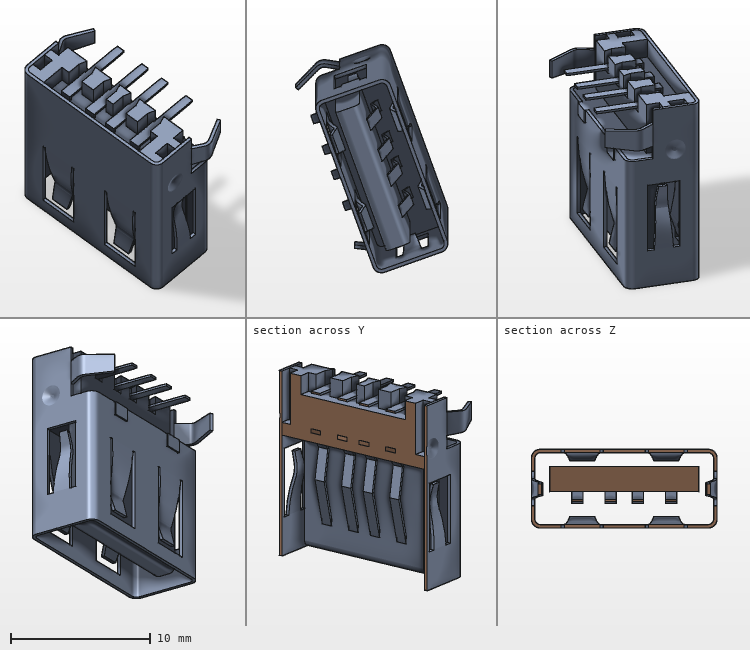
import cadquery as cq
import math


shell_width = 13.34
shell_depth = 5.67
shell_height = 14.0
wall = 0.26
corner_radius = 0.65
half_width = shell_width / 2
inner_half_width = half_width - wall
inner_back = shell_depth - wall

shelf_z = 10.14
side_wall_back = 3.65

grip_window_width = 3.02
grip_window_bottom = 1.1
grip_window_top = 7.13
grip_window_x = 3.02
grip_root_width = 2.64
grip_tip_width = 1.45
grip_tip_z = 1.74
grip_bend_far_z = 2.99
grip_bend_near_z = 3.45
grip_bend_inset = 0.52
grip_tip_inset = 0.15

side_window_front = 1.61
side_window_back = 4.07
side_window_bottom = 2.89
side_window_top = 8.08
side_root_front, side_root_back = 2.1, 3.55
side_tip_front, side_tip_back = 2.45, 3.13
side_bend_near_z = 5.87
side_bend_far_z = 6.87
side_tip_z = 7.7
side_bend_inset = 0.51
side_tip_inset = 0.29

bend_bulge = 0.06

clip_reach = 7.25
clip_bend_start_y = 4.54
clip_bend_end_y = 5.28
clip_bend_x = 7.16
clip_tip_x = 6.24
clip_tip_y = 7.16
clip_mid_z = 12.02
clip_root_height = 1.77
clip_tip_height = 1.33

dimple_y = 1.95
dimple_z = 10.6
dimple_rim_radius = 0.77
dimple_cone_radius = 0.71
dimple_floor_radius = 0.2
dimple_point_radius = 0.12
dimple_rim_depth = 0.01
dimple_cone_depth = 0.17
dimple_depth = 0.19

base_bottom = 9.14
upper_back = 3.83
upper_half_width = 5.65
arm_front, arm_back = 2.18, 2.84
pocket_front = 0.95
recess_half_width = 4.68
recess_back = 2.18
recess_floor = 12.59
slot_width = 1.26
slot_taper_y = 3.23
boss_width = 1.44
boss_x = 3.29
boss_back = 5.77
tongue_half_width = 5.36
tongue_front = 2.61
tongue_back = 4.44
tongue_bottom = 0.57
tongue_edge_radius = 0.5

pin_x_positions = (-3.36, -0.97, 0.97, 3.36)
pin_thickness = 0.17
pin_width = 0.83
pin_tail_width = 0.68
pin_tip_width = 0.62
pin_top = 13.02
pin_front = 1.13
pin_back = 6.93
pin_neck_y = 3.61
pin_tip_y = 6.48
pin_jog_top_z = 10.15
pin_jog_bottom_z, pin_jog_bottom_y = 8.55, 2.18
pin_contact_z, pin_contact_y = 6.19, 1.75
pin_end_z, pin_end_y = 2.62, tongue_front
tail_bottom = pin_top - pin_thickness


def box(x_range, y_range, z_range):
    """Box between the given limits on each axis."""
    size = [high - low for low, high in (x_range, y_range, z_range)]
    corner = (x_range[0], y_range[0], z_range[0])
    return cq.Workplane("XY").box(*size, centered=False).translate(corner)


def mirrored_in_x(body):
    return body.mirror("YZ")


def spring_strip(root_z, near_z, far_z, tip_z, bend_inset, tip_inset, width):
    """Bent strip, Y being its inset: an arc from the root, a rounded bend and a straight tip."""
    arc_z = (root_z + near_z) / 2
    bend_z = (near_z + far_z) / 2
    deepest = bend_inset + bend_bulge
    return (
        cq.Workplane("YZ")
        .moveTo(0, root_z)
        .threePointArc((bend_inset / 4, arc_z), (bend_inset, near_z))
        .threePointArc((deepest, bend_z), (bend_inset, far_z))
        .lineTo(tip_inset, tip_z)
        .lineTo(tip_inset + wall, tip_z)
        .lineTo(bend_inset + wall, far_z)
        .threePointArc((deepest + wall, bend_z), (bend_inset + wall, near_z))
        .threePointArc((bend_inset / 4 + wall, arc_z), (wall, root_z))
        .close()
        .extrude(width / 2, both=True)
    )


def front_grip(x):
    """Spring hanging from the top of a front window, tapering to its tip."""
    strip = spring_strip(
        grip_window_top, grip_bend_near_z, grip_bend_far_z, grip_tip_z,
        grip_bend_inset, grip_tip_inset, grip_root_width,
    )
    taper = (
        cq.Workplane("XZ")
        .polyline([
            (-grip_root_width / 2, grip_window_top),
            (grip_root_width / 2, grip_window_top),
            (grip_tip_width / 2, grip_tip_z),
            (-grip_tip_width / 2, grip_tip_z),
        ])
        .close()
        .extrude(-shell_depth)
    )
    return strip.intersect(taper).translate((x, 0, 0))


def side_grip():
    """Spring rising from the bottom of the -X side window, tapering to its tip."""
    strip = spring_strip(
        side_window_bottom, side_bend_near_z, side_bend_far_z, side_tip_z,
        side_bend_inset, side_tip_inset, 2 * shell_depth,
    )
    strip = strip.rotate((0, 0, 0), (0, 0, 1), -90).translate((-half_width, 0, 0))
    taper = (
        cq.Workplane("YZ")
        .polyline([
            (side_root_front, side_window_bottom),
            (side_root_back, side_window_bottom),
            (side_tip_back, side_tip_z),
            (side_tip_front, side_tip_z),
        ])
        .close()
        .extrude(-half_width)
    )
    return strip.intersect(taper)


def board_clip():
    """Strip folded out of the upper edge of the -X side wall and back in behind the shell."""
    out_angle = math.atan2(clip_bend_x - half_width, clip_bend_start_y - side_wall_back)
    in_angle = math.atan2(clip_bend_x - clip_tip_x, clip_tip_y - clip_bend_end_y)
    out_dx, out_dy = wall * math.cos(out_angle), wall * math.sin(out_angle)
    in_dx, in_dy = wall * math.cos(in_angle), wall * math.sin(in_angle)
    bend_mid_y = (clip_bend_start_y + clip_bend_end_y) / 2
    strip = (
        cq.Workplane("XY")
        .moveTo(-half_width, side_wall_back)
        .lineTo(-clip_bend_x, clip_bend_start_y)
        .threePointArc((-clip_reach, bend_mid_y), (-clip_bend_x, clip_bend_end_y))
        .lineTo(-clip_tip_x, clip_tip_y)
        .lineTo(-clip_tip_x + in_dx, clip_tip_y - in_dy)
        .lineTo(-clip_bend_x + in_dx, clip_bend_end_y - in_dy)
        .threePointArc(
            (-clip_reach + wall, bend_mid_y),
            (-clip_bend_x + out_dx, clip_bend_start_y + out_dy),
        )
        .lineTo(-half_width + wall / math.cos(out_angle), side_wall_back)
        .close()
        .extrude(shell_height)
    )
    taper = (
        cq.Workplane("YZ")
        .polyline([
            (side_wall_back, clip_mid_z - clip_root_height / 2),
            (clip_tip_y, clip_mid_z - clip_tip_height / 2),
            (clip_tip_y, clip_mid_z + clip_tip_height / 2),
            (side_wall_back, clip_mid_z + clip_root_height / 2),
        ])
        .close()
        .extrude(-shell_width)
    )
    return strip.intersect(taper)


def dimple():
    """Conical dent in the outside of the -X wall."""
    return (
        cq.Workplane("XY")
        .polyline([
            (0, 0),
            (0, dimple_rim_radius),
            (dimple_rim_depth, dimple_cone_radius),
            (dimple_cone_depth, dimple_floor_radius),
            (dimple_depth, dimple_point_radius),
            (dimple_depth, 0),
        ])
        .close()
        .revolve(360, (0, 0, 0), (1, 0, 0))
        .translate((-half_width, dimple_y, dimple_z))
    )


def rounded_prism(inset, bottom, top):
    """Rounded rectangular prism, inset from the outside of the shell."""
    return (
        cq.Workplane("XY", origin=(0, shell_depth / 2, bottom))
        .rect(shell_width - 2 * inset, shell_depth - 2 * inset)
        .extrude(top - bottom)
        .edges("|Z")
        .fillet(corner_radius - inset)
    )


def boss_blocks(front, back):
    """The two blocks of the insulator that lock into the back wall."""
    left = box(
        (-boss_x - boss_width / 2, -boss_x + boss_width / 2),
        (front, back),
        (base_bottom, shelf_z),
    )
    return left.union(mirrored_in_x(left))


def make_shell():
    shell = rounded_prism(0, 0, shell_height).cut(rounded_prism(wall, 0, shell_height))
    shell = shell.cut(box(
        (-half_width, half_width), (side_wall_back, shell_depth), (shelf_z, shell_height)
    ))
    shell = shell.cut(boss_blocks(inner_back, shell_depth))
    for x in (-grip_window_x, grip_window_x):
        shell = shell.cut(box(
            (x - grip_window_width / 2, x + grip_window_width / 2),
            (0, shell_depth),
            (grip_window_bottom, grip_window_top),
        ))
    shell = shell.cut(box(
        (-half_width, half_width),
        (side_window_front, side_window_back),
        (side_window_bottom, side_window_top),
    ))
    for x in (-grip_window_x, grip_window_x):
        grip = front_grip(x)
        back_grip = grip.mirror("XZ").translate((0, shell_depth, 0))
        shell = shell.union(grip).union(back_grip)
    for spring in (side_grip(), board_clip()):
        shell = shell.union(spring).union(mirrored_in_x(spring))
    return shell.cut(dimple()).cut(mirrored_in_x(dimple()))


def make_pin(x):
    """Flat strip: tail along Y, leg down from its front end, bowed contact sunk into the tongue."""
    tail = (
        cq.Workplane("XY", origin=(x, 0, tail_bottom))
        .polyline([
            (-pin_width / 2, pin_front),
            (-pin_width / 2, pin_neck_y),
            (-pin_tail_width / 2, pin_neck_y),
            (-pin_tail_width / 2, pin_tip_y),
            (-pin_tip_width / 2, pin_back),
            (pin_tip_width / 2, pin_back),
            (pin_tail_width / 2, pin_tip_y),
            (pin_tail_width / 2, pin_neck_y),
            (pin_width / 2, pin_neck_y),
            (pin_width / 2, pin_front),
        ])
        .close()
        .extrude(pin_thickness)
    )
    front_edge = [
        (pin_front, pin_top),
        (pin_front, pin_jog_top_z),
        (pin_jog_bottom_y, pin_jog_bottom_z),
        (pin_contact_y, pin_contact_z),
        (pin_end_y, pin_end_z),
    ]
    back_edge = [(y + pin_thickness, z) for y, z in reversed(front_edge)]
    leg = (
        cq.Workplane("YZ", origin=(x, 0, 0))
        .polyline(front_edge + back_edge)
        .close()
        .extrude(pin_width / 2, both=True)
    )
    return tail.union(leg)


def pin_slot(x):
    """Slot for a pin's tail, open to the recess and narrowing to the pin at the back."""
    return (
        cq.Workplane("XY", origin=(x, 0, recess_floor))
        .polyline([
            (-slot_width / 2, recess_back),
            (-slot_width / 2, slot_taper_y),
            (-pin_width / 2, upper_back),
            (pin_width / 2, upper_back),
            (slot_width / 2, slot_taper_y),
            (slot_width / 2, recess_back),
        ])
        .close()
        .extrude(shell_height - recess_floor)
    )


def make_insulator(pins):
    insulator = rounded_prism(wall, base_bottom, shell_height)
    insulator = insulator.cut(box(
        (-half_width, half_width), (upper_back, shell_depth), (shelf_z, shell_height)
    ))
    insulator = insulator.union(boss_blocks(inner_back, boss_back))
    tongue = box(
        (-tongue_half_width, tongue_half_width),
        (tongue_front, tongue_back),
        (tongue_bottom, base_bottom),
    )
    insulator = insulator.union(tongue.edges("|X and <Z").fillet(tongue_edge_radius))
    for y_range in ((pocket_front, arm_front), (arm_back, upper_back)):
        notch = box((-inner_half_width, -upper_half_width), y_range, (shelf_z, shell_height))
        insulator = insulator.cut(notch).cut(mirrored_in_x(notch))
    insulator = insulator.cut(box(
        (-recess_half_width, recess_half_width), (wall, recess_back), (recess_floor, shell_height)
    ))
    for x in pin_x_positions:
        insulator = insulator.cut(pin_slot(x))
    for pin in pins:
        insulator = insulator.cut(pin)
    return insulator


shell = make_shell()
pins = [make_pin(x) for x in pin_x_positions]
insulator = make_insulator(pins)

result = cq.Compound.makeCompound([shell.val(), insulator.val(), *[pin.val() for pin in pins]])